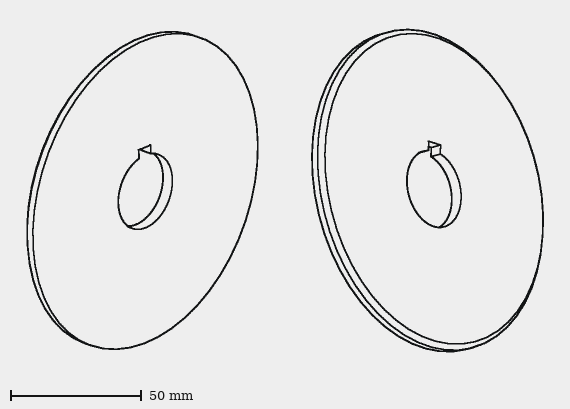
import cadquery as cq

outer_diameter = 125.0
thickness = 5.0
rim_chamfer = 2.0

bore_diameter = 30.0
keyway_width = 6.5
keyway_top = 18.3

lean_about_y = -1.0
lean_about_z = -0.7


def make_disc():
    """Solid disc along X, centred on the origin, with a chamfered -X rim."""
    disc = cq.Workplane("YZ").circle(outer_diameter / 2).extrude(thickness / 2, both=True)
    return disc.faces("<X").edges().chamfer(rim_chamfer)


def make_keyed_bore():
    """Cutting body for the through bore and its keyway."""
    bore = cq.Workplane("YZ").circle(bore_diameter / 2).extrude(thickness, both=True)
    keyway = (
        cq.Workplane("YZ")
        .center(0, keyway_top / 2)
        .rect(keyway_width, keyway_top)
        .extrude(thickness, both=True)
    )
    return bore.union(keyway)


upright_disc = make_disc().cut(make_keyed_bore())
result = (
    upright_disc
    .rotate((0, 0, 0), (0, 1, 0), lean_about_y)
    .rotate((0, 0, 0), (0, 0, 1), lean_about_z)
)